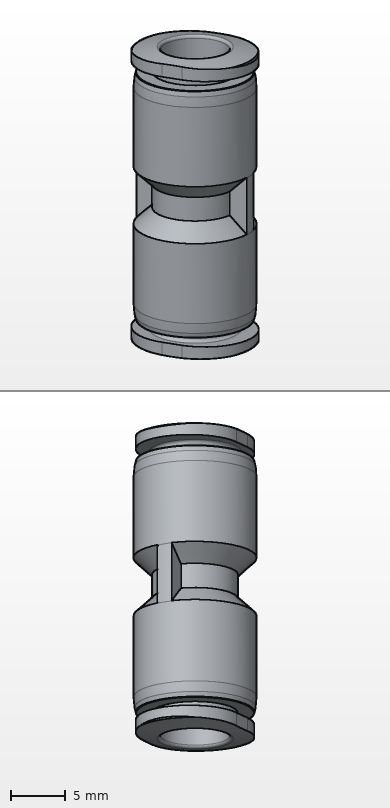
import cadquery as cq

length = 28.6
half_length = length / 2
body_radius = 11.2 / 2
body_end_z = 11.9
body_end_radius = 10.8 / 2
body_end_edge = 0.05
collar_z = 11.38
collar_radius = 5.52
body_straight_z = 10.4

waist_radius = 3.92
waist_half_height = 1.15
waist_mouth_z = 2.75
web_thickness = 1.5

neck_radius = 7.75 / 2
neck_flare = 0.35
flange_bottom_z = 12.78
flange_width = 9.8
flange_length = 11.8
dome_rim_radius = 5.75
dome_rim_drop = 0.4
dome_edge_drop = 0.55

through_diameter = 5.0
socket_radius = 6.35 / 2
socket_mouth_rounding = 0.3
socket_mouth_radius = socket_radius + socket_mouth_rounding
socket_floor_z = waist_mouth_z


def mirror_ends(solid):
    """Return the upper-end solid joined with its copy at the lower end."""
    return solid.union(solid.mirror("XY"))


def revolve_about_z(profile):
    """Turn a closed (radius, height) profile about the Z axis."""
    return profile.close().revolve(360, (0, 0, 0), (0, 1, 0))


def make_body():
    """Two tapered end barrels joined by the cylindrical waist."""
    half = revolve_about_z(
        cq.Workplane("XZ")
        .moveTo(0, waist_half_height)
        .lineTo(waist_radius, waist_half_height)
        .lineTo(body_radius, waist_mouth_z)
        .lineTo(body_radius, body_straight_z)
        .tangentArcPoint((collar_radius, collar_z), relative=False)
        .lineTo(body_end_radius, body_end_z - body_end_edge)
        .lineTo(body_end_radius - body_end_edge, body_end_z)
        .lineTo(0, body_end_z)
    )
    waist = cq.Workplane("XY").cylinder(2 * waist_half_height, waist_radius)
    return waist.union(mirror_ends(half))


def make_web():
    """Flat web across the waist, trimmed to the body cylinder."""
    height = 2 * waist_mouth_z
    slab = cq.Workplane("XY").box(2 * body_radius, web_thickness, height)
    return slab.intersect(cq.Workplane("XY").cylinder(height, body_radius))


def make_neck():
    """Sleeve neck that flares out under the flange."""
    return revolve_about_z(
        cq.Workplane("XZ")
        .moveTo(0, body_end_z)
        .lineTo(neck_radius, body_end_z)
        .lineTo(neck_radius, flange_bottom_z - neck_flare)
        .radiusArc((neck_radius + neck_flare, flange_bottom_z), neck_flare)
        .lineTo(0, flange_bottom_z)
    )


def make_flange():
    """Oblong flange with a shallow conical top."""
    outline = (
        cq.Workplane("XY", origin=(0, 0, flange_bottom_z))
        .slot2D(flange_length, flange_width)
        .extrude(half_length - flange_bottom_z)
    )
    dome = revolve_about_z(
        cq.Workplane("XZ")
        .moveTo(0, flange_bottom_z)
        .lineTo(flange_length / 2, flange_bottom_z)
        .lineTo(flange_length / 2, half_length - dome_edge_drop)
        .lineTo(dome_rim_radius, half_length - dome_rim_drop)
        .lineTo(socket_mouth_radius, half_length)
        .lineTo(0, half_length)
    )
    return outline.intersect(dome)


def make_socket():
    """Tube socket with a rounded mouth, as a cutting solid."""
    return revolve_about_z(
        cq.Workplane("XZ")
        .moveTo(0, socket_floor_z)
        .lineTo(socket_radius, socket_floor_z)
        .lineTo(socket_radius, half_length - socket_mouth_rounding)
        .radiusArc((socket_mouth_radius, half_length), socket_mouth_rounding)
        .lineTo(0, half_length)
    )


sleeve = make_neck().union(make_flange())
bore = cq.Workplane("XY").cylinder(length, through_diameter / 2)

result = (
    make_body()
    .union(make_web())
    .union(mirror_ends(sleeve))
    .cut(mirror_ends(make_socket()))
    .cut(bore)
)